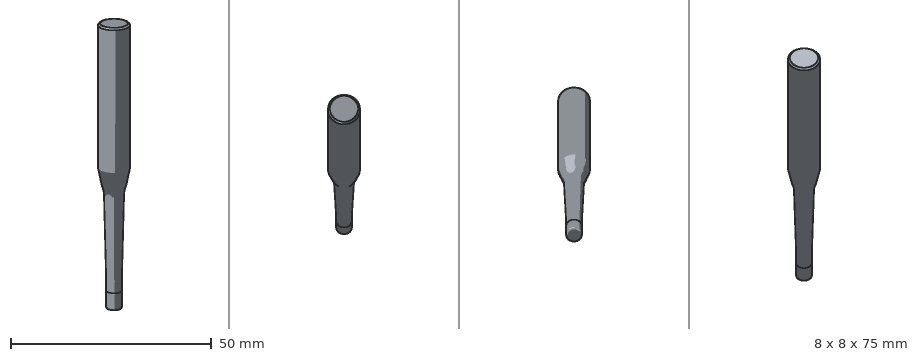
import cadquery as cq

total_length = 75.0
shank_diameter = 8.0
tip_diameter = shank_diameter / 2
shank_radius = shank_diameter / 2
tip_radius = tip_diameter / 2

tip_length = 4.65
tip_corner_radius = 0.5

neck_start = 8.0
taper_end = 30.0
cone_start = 32.4
shank_start = 37.0

taper_end_radius = 2.55
cone_start_radius = 3.1
shank_chamfer = 0.5


def make_tip():
    """Cylindrical cutting tip with a rounded lower corner."""
    return (
        cq.Workplane("XY")
        .circle(tip_radius)
        .extrude(tip_length)
        .faces("<Z")
        .edges()
        .fillet(tip_corner_radius)
    )


def make_holder():
    """Straight stub, slender taper, concave flare, cone and shank, revolved as one profile."""
    return (
        cq.Workplane("XZ")
        .moveTo(0, tip_length)
        .lineTo(tip_radius, tip_length)
        .lineTo(tip_radius, neck_start)
        .lineTo(taper_end_radius, taper_end)
        .tangentArcPoint((cone_start_radius, cone_start), relative=False)
        .lineTo(shank_radius, shank_start)
        .lineTo(shank_radius, total_length - shank_chamfer)
        .lineTo(shank_radius - shank_chamfer, total_length)
        .lineTo(0, total_length)
        .close()
        .revolve(360, (0, 0, 0), (0, 1, 0))
    )


tip = make_tip()
holder = make_holder()

result = cq.Compound.makeCompound([tip.val(), holder.val()])